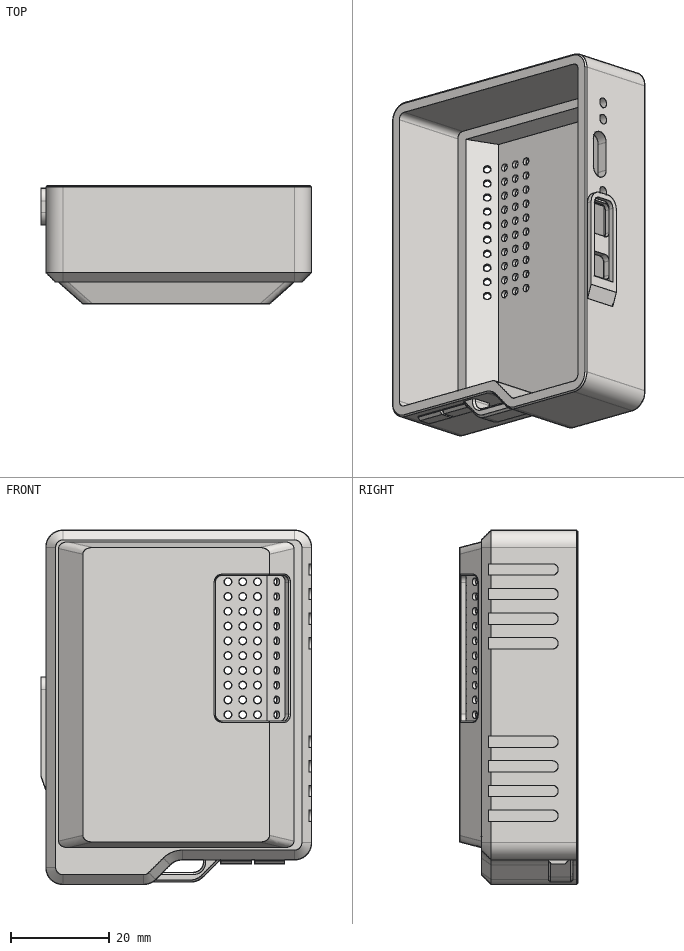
import cadquery as cq
import math


body_width = 54.0
body_height = 72.0
body_depth = 19.6
wall = 2.2
corner_radius = 3.5
front_bevel_side = 2.0
front_bevel_depth = 2.0
back_edge_bevel = 0.3

foot_height = 5.0
foot_flank_x = 21.3
flank_top_x = foot_flank_x + foot_height

overall_depth = 24.0
block_rise = overall_depth - body_depth
block_left, block_right = 2.6, 50.4
block_bottom, block_top = 7.5, 69.6
block_draft_x = 4.95
block_draft_z = 1.15
block_edge_radius = 1.6
slope_angle = math.atan2(block_rise, block_draft_x)
end_angle = math.atan2(block_rise, block_draft_z)

recess_depth = 1.3
recess_left = 34.45
recess_right = 49.5
recess_height = 29.6
recess_mid_z = 48.0
recess_corner_radius = 1.4
recess_rim_bevel = 0.25
grille_hole = 1.5
grille_pitch = 3.0
grille_rows = 10
grille_columns = 3
grille_first_x = 37.0
grille_slope_offset = 2.65
drill_length = 5.0
match_tolerance = 0.01

light_hole = 2.0
light_y = -5.15
light_heights = (62.0, 58.5, 43.1)
connector_y, connector_z = -4.15, 50.8
connector_length, connector_width = 9.7, 3.75

tab_rise = 1.0
tab_back, tab_front = -0.5, -8.0
tab_top = 42.2
tab_ramp_top = 22.0
tab_bottom = 19.2
tab_radius = 2.6
tab_mid_y = (tab_back + tab_front) / 2
switch_recess_width = 5.4
switch_recess_bottom, switch_recess_top = 24.0, 41.1
switch_recess_radius = 1.4
window_width = 5.25
window_radius = 1.1
upper_window = (33.6, 40.7)
lower_window = (24.55, 29.8)
upper_window_wall, lower_window_wall = 1.0, 1.5
relief_width = 7.0
relief_margin_upper, relief_margin_lower = 0.3, 1.5

groove_depth = 0.5
groove_width = 2.3
groove_back = -4.0
groove_pitch = 5.0
grooves_per_group = 4
groove_group_starts = (14.0, 49.0)

loop_bottom = 0.5
loop_bar = 2.0
loop_corner_x = 30.9
loop_corner_radius = 3.5
loop_hole_right = 32.0
loop_back, loop_front = -1.0, -6.0
loop_hole_radius = 2.0
loop_edge_bevel = 0.45
loop_root = 2.0
button_spans = ((35.5, 41.8), (42.4, 48.5))
button_drop = 0.8
button_bevel = 0.6
button_back, button_front = -2.0, -6.0
button_root = wall / 2


def front_plane(y):
    """XZ work plane at depth y, extruding toward the front (-Y)."""
    return cq.Workplane("XZ", origin=(0, y, 0))


def left_plane(x):
    """Work plane at x with local axes (-Y, Z), extruding toward -X."""
    return cq.Workplane(cq.Plane(origin=(x, 0, 0), xDir=(0, -1, 0), normal=(-1, 0, 0)))


def box(x0, x1, y0, y1, z0, z1):
    """Axis-aligned box between two opposite corners."""
    return (cq.Workplane("XY")
            .box(x1 - x0, y1 - y0, z1 - z0, centered=False)
            .translate((x0, y0, z0)))


def body_prism(inset, depth):
    """Housing outline moved inward by inset, extruded forward from the back."""
    flank_shift = inset * math.tan(math.radians(22.5))
    return (front_plane(0)
            .moveTo(inset, inset)
            .lineTo(foot_flank_x - flank_shift, inset)
            .lineTo(flank_top_x - flank_shift, foot_height + inset)
            .lineTo(body_width - inset, foot_height + inset)
            .lineTo(body_width - inset, body_height - inset)
            .lineTo(inset, body_height - inset)
            .close()
            .extrude(depth))


def block_frustum(inset_x, inset_z, base_y):
    """Drafted front block, optionally inset, with its base at base_y."""
    left, right = block_left + inset_x, block_right - inset_x
    bottom, top = block_bottom + inset_z, block_top - inset_z
    mid_x, mid_z = (left + right) / 2, (bottom + top) / 2
    width, height = right - left, top - bottom
    return (front_plane(base_y)
            .center(mid_x, mid_z)
            .rect(width, height)
            .workplane(offset=block_rise)
            .rect(width - 2 * block_draft_x, height - 2 * block_draft_z)
            .loft())


def outer_shell():
    """Solid housing: bevelled body plus the raised front block."""
    body = body_prism(0, body_depth).edges("|Y").fillet(corner_radius)
    bevelled = (body.faces("<Y").edges()
                .chamfer(front_bevel_depth, front_bevel_side))
    bevelled = bevelled.faces(">Y").edges().chamfer(back_edge_bevel)
    block = block_frustum(0, 0, -body_depth)
    slanted = block.edges("not(#Y)")
    return bevelled.union(slanted.fillet(block_edge_radius))


def hollow_space():
    """Inside space, keeping the wall thickness behind every front face."""
    main = body_prism(wall, body_depth - wall).edges("|Y").fillet(corner_radius - wall)
    inset_x = wall * math.tan(slope_angle / 2)
    inset_z = wall * math.tan(end_angle / 2)
    return main.union(block_frustum(inset_x, inset_z, wall - body_depth))


def slope_frame():
    """Bend point of the recess floor, the slope direction and its outward normal in XY."""
    bend_x = block_right - block_draft_x - recess_depth * math.tan(slope_angle / 2)
    bend_y = recess_depth - overall_depth
    along = (math.cos(slope_angle), math.sin(slope_angle))
    outward = (math.sin(slope_angle), -math.cos(slope_angle))
    return (bend_x, bend_y), along, outward


def speaker_recess():
    """Pocket of constant depth that follows the front face round onto the right slope."""
    (bend_x, bend_y), along, outward = slope_frame()
    over = 2 * recess_depth
    rim_x = recess_right - recess_depth * outward[0]
    run = (rim_x - bend_x) / along[0]
    end = (rim_x, bend_y + run * along[1])
    end_out = (end[0] + over * outward[0], end[1] + over * outward[1])
    bend_out_x = bend_x + over * math.tan(slope_angle / 2)
    bottom = recess_mid_z - recess_height / 2
    pocket = (cq.Workplane("XY", origin=(0, 0, bottom))
              .moveTo(recess_left, bend_y)
              .lineTo(bend_x, bend_y)
              .lineTo(*end)
              .lineTo(*end_out)
              .lineTo(bend_out_x, bend_y - over)
              .lineTo(recess_left, bend_y - over)
              .close()
              .extrude(recess_height))
    left_corners = pocket.faces("<X").edges("|Y")
    pocket = left_corners.fillet(recess_corner_radius)
    right_wall = cq.selectors.DirectionMinMaxSelector(cq.Vector(*along, 0), True)
    across_slope = cq.selectors.ParallelDirSelector(cq.Vector(*outward, 0))
    return pocket.faces(right_wall).edges(across_slope).fillet(recess_corner_radius)


def on_recess_rim(edge):
    """True for the edges where the recess walls meet the front of the block."""
    centre = edge.Center()
    above_slope = ((centre.x - block_right) * math.sin(slope_angle)
                   - (centre.y + body_depth) * math.cos(slope_angle))
    above_front = -overall_depth - centre.y
    on_surface = abs(max(above_slope, above_front)) < match_tolerance
    in_height = abs(centre.z - recess_mid_z) < recess_height / 2 + match_tolerance
    in_width = recess_left - match_tolerance < centre.x < recess_right
    return on_surface and in_height and in_width


def grille_holes():
    """Rows of holes through the recess floor; the last column is square to the slope."""
    (bend_x, bend_y), along, outward = slope_frame()
    row_span = (grille_rows - 1) * grille_pitch
    flat_mid_x = grille_first_x + (grille_columns - 1) * grille_pitch / 2
    flat = (front_plane(bend_y + drill_length / 2)
            .center(flat_mid_x, recess_mid_z)
            .rarray(grille_pitch, grille_pitch, grille_columns, grille_rows)
            .circle(grille_hole / 2)
            .extrude(drill_length))
    start = (bend_x + grille_slope_offset * along[0] - outward[0] * drill_length / 2,
             bend_y + grille_slope_offset * along[1] - outward[1] * drill_length / 2)
    slope = cq.Plane(origin=(*start, recess_mid_z + row_span / 2),
                     xDir=(*along, 0), normal=(*outward, 0))
    sloped = (cq.Workplane(slope)
              .pushPoints([(0, -row * grille_pitch) for row in range(grille_rows)])
              .circle(grille_hole / 2)
              .extrude(drill_length))
    return flat, sloped


def left_wall_openings():
    """Indicator holes and the connector slot through the left wall."""
    lights = (left_plane(wall)
              .pushPoints([(-light_y, z) for z in light_heights])
              .circle(light_hole / 2)
              .extrude(wall))
    connector = (left_plane(wall)
                 .center(-connector_y, connector_z)
                 .slot2D(connector_length, connector_width, 90)
                 .extrude(wall))
    return lights.union(connector)


def side_block(x, rise, width, bottom, top):
    """Plate on the left side, centred on the tab, from x outward by rise."""
    return (left_plane(x)
            .center(-tab_mid_y, (bottom + top) / 2)
            .rect(width, top - bottom)
            .extrude(rise))


def switch_tab():
    """Raised frame on the left wall: round top corners, ramp at the bottom."""
    plate = (front_plane(tab_back)
             .moveTo(0, tab_bottom)
             .lineTo(-tab_rise, tab_ramp_top)
             .lineTo(-tab_rise, tab_top)
             .lineTo(0, tab_top)
             .close()
             .extrude(tab_back - tab_front))
    return plate.faces(">Z").edges("|X").fillet(tab_radius)


def switch_openings():
    """Recess in the tab, the two windows in its floor and the relief behind them."""
    recess = side_block(0, tab_rise, switch_recess_width,
                        switch_recess_bottom, switch_recess_top)
    openings = recess.faces(">Z").edges("|X").fillet(switch_recess_radius)
    windows = ((upper_window, upper_window_wall, relief_margin_upper),
               (lower_window, lower_window_wall, relief_margin_lower))
    for (bottom, top), thickness, margin in windows:
        window = side_block(wall, wall, window_width, bottom, top)
        relief = side_block(wall, wall - thickness, relief_width,
                            bottom - margin, top + margin)
        openings = openings.union(window.edges("|X").fillet(window_radius))
        openings = openings.union(relief)
    return openings


def finger_grooves():
    """Two groups of shallow grooves with a round back end in the right wall."""
    floor_x = body_width - groove_depth
    back_centre = groove_back - groove_width / 2
    grooves = cq.Workplane("XY")
    for start in groove_group_starts:
        for index in range(grooves_per_group):
            z = start + index * groove_pitch
            channel = box(floor_x, body_width, -body_depth, back_centre,
                          z - groove_width / 2, z + groove_width / 2)
            round_end = (cq.Workplane("YZ", origin=(floor_x, back_centre, z))
                         .circle(groove_width / 2)
                         .extrude(groove_depth))
            grooves = grooves.union(channel).union(round_end)
    return grooves


def lanyard_loop():
    """Eyelet bridging the foot flank and the underside."""
    rise = foot_height - loop_bottom
    thickness = loop_back - loop_front
    outer = (front_plane(loop_back)
             .moveTo(foot_flank_x + loop_bottom - loop_root, loop_bottom)
             .lineTo(loop_corner_x, loop_bottom)
             .lineTo(loop_corner_x + rise + loop_root, foot_height + loop_root)
             .lineTo(flank_top_x, foot_height + loop_root)
             .lineTo(flank_top_x - loop_root, foot_height)
             .close()
             .extrude(thickness))
    hole_bottom = loop_bottom + loop_bar
    hole = (front_plane(loop_back)
            .moveTo(foot_flank_x + hole_bottom, hole_bottom)
            .lineTo(loop_hole_right - loop_hole_radius, hole_bottom)
            .radiusArc((loop_hole_right, hole_bottom + loop_hole_radius), -loop_hole_radius)
            .lineTo(loop_hole_right, foot_height)
            .lineTo(flank_top_x, foot_height)
            .close()
            .extrude(thickness))
    corner = cq.selectors.NearestToPointSelector(
        (loop_corner_x, (loop_back + loop_front) / 2, loop_bottom))
    loop = outer.edges(corner).fillet(loop_corner_radius).cut(hole)
    return loop.faces("<Y or >Y").edges().chamfer(loop_edge_bevel)


def buttons():
    """Two low buttons on the underside, right of the loop."""
    pair = cq.Workplane("XY")
    for x0, x1 in button_spans:
        button = box(x0, x1, button_front, button_back,
                     foot_height - button_drop, foot_height + button_root)
        pair = pair.union(button.faces("<Z").edges("|X").chamfer(button_bevel))
    return pair


flat_holes, sloped_holes = grille_holes()
housing = outer_shell().cut(speaker_recess())
housing = housing.edges().filter(on_recess_rim).chamfer(recess_rim_bevel)
housing = housing.cut(hollow_space()).cut(flat_holes).cut(sloped_holes)
housing = housing.cut(left_wall_openings())
housing = housing.union(switch_tab()).cut(switch_openings())
housing = housing.cut(finger_grooves())
result = housing.union(lanyard_loop()).union(buttons())